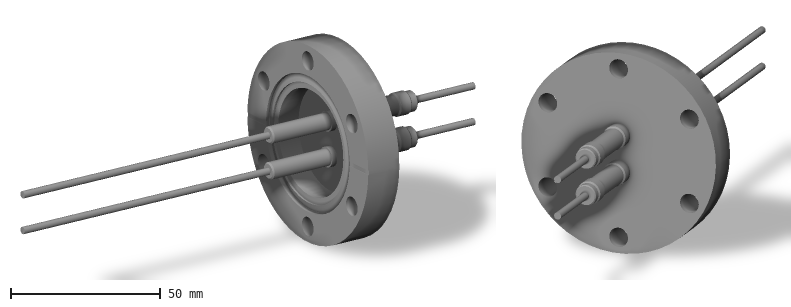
import cadquery as cq
import math

flange_diameter = 69.85
flange_thickness = 12.7
web_thickness = 3.2
bore_diameter = 37.6

bolt_count = 6
bolt_circle_diameter = 58.72
bolt_hole_diameter = 6.7

recess_diameter = 48.3
cone_base_diameter = 47.4
knife_edge_diameter = 42.2
knife_edge_depth = 0.4
cone_break_diameter = 44.4
inner_cone_angle = 18.0
outer_cone_angle = 20.0
land_depth = 1.2

leak_groove_width = 1.6
leak_groove_depth = 0.2

pin_spacing = 12.7
total_length = 184.15
pin_diameter = 2.5
pin_front_reach = 116.5
front_tube_diameter = 6.0
front_tube_chamfer = 0.5
front_tube_reach = 16.2
collar_diameter = 7.1
collar_length = 2.0
boss_diameter = 8.2
boss_length = 4.6
rear_tube_diameter = 7.2
ring_diameter = 8.2
ring_front = 34.9
ring_length = 5.1
cap_diameter = 7.3
cap_chamfer = 0.35
cap_end = 42.6
edge_bevel = 0.55

bore_depth = flange_thickness - web_thickness
pin_positions = (-pin_spacing / 2, pin_spacing / 2)


def cylinder(diameter, y_start, y_end, x=0.0, z=0.0):
    """Cylinder along +Y from y_start to y_end."""
    axis_start = cq.Vector(x, y_start, z)
    return cq.Workplane(
        cq.Solid.makeCylinder(diameter / 2, y_end - y_start, axis_start, cq.Vector(0, 1, 0))
    )


def cone_drop(inner_diameter, outer_diameter, angle):
    """Depth lost along a cone that slopes away from the knife edge."""
    return (outer_diameter - inner_diameter) / 2 * math.tan(math.radians(angle))


def sealing_recess():
    """Turned volume to cut away, leaving a conical knife edge and a flat land around the bore."""
    cone_break_depth = knife_edge_depth + cone_drop(
        knife_edge_diameter, cone_break_diameter, inner_cone_angle
    )
    cone_base_depth = cone_break_depth + cone_drop(
        cone_break_diameter, cone_base_diameter, outer_cone_angle
    )
    profile = [
        (0, 0),
        (recess_diameter / 2, 0),
        (recess_diameter / 2, cone_base_depth),
        (cone_base_diameter / 2, cone_base_depth),
        (cone_break_diameter / 2, cone_break_depth),
        (knife_edge_diameter / 2, knife_edge_depth),
        (knife_edge_diameter / 2, land_depth),
        (0, land_depth),
    ]
    return cq.Workplane("XY").polyline(profile).close().revolve(360, (0, 0), (0, 1))


def flange():
    """Drilled flange with its blind bore, sealing recess and leak-check grooves."""
    body = cylinder(flange_diameter, 0, flange_thickness)
    body = body.cut(cylinder(bore_diameter, 0, bore_depth))
    body = body.cut(sealing_recess())
    for index in range(bolt_count):
        angle = math.radians(90 + index * 360 / bolt_count)
        x = bolt_circle_diameter / 2 * math.cos(angle)
        z = bolt_circle_diameter / 2 * math.sin(angle)
        body = body.cut(cylinder(bolt_hole_diameter, 0, flange_thickness, x, z))
    groove = cq.Workplane("XY").box(flange_diameter, 2 * leak_groove_depth, leak_groove_width)
    inside = cylinder(recess_diameter, -leak_groove_depth, leak_groove_depth)
    return body.cut(groove.cut(inside))


def feedthrough(z):
    """Pin with its front tube and collar in the bore and its sleeves behind the web, as one turned shape."""
    ring_end = ring_front + ring_length
    boss_end = flange_thickness + boss_length
    pin_radius = pin_diameter / 2
    front_tube_radius = front_tube_diameter / 2
    collar_radius = collar_diameter / 2
    boss_radius = boss_diameter / 2
    rear_tube_radius = rear_tube_diameter / 2
    ring_radius = ring_diameter / 2
    cap_radius = cap_diameter / 2
    profile = [
        (0, -pin_front_reach),
        (pin_radius, -pin_front_reach),
        (pin_radius, -front_tube_reach),
        (front_tube_radius - front_tube_chamfer, -front_tube_reach),
        (front_tube_radius, -front_tube_reach + front_tube_chamfer),
        (front_tube_radius, bore_depth - collar_length),
        (collar_radius, bore_depth - collar_length),
        (collar_radius, bore_depth),
        (boss_radius, bore_depth),
        (boss_radius, boss_end - edge_bevel),
        (rear_tube_radius, boss_end),
        (rear_tube_radius, ring_front),
        (ring_radius, ring_front + edge_bevel),
        (ring_radius, ring_end - edge_bevel),
        (cap_radius, ring_end),
        (cap_radius, cap_end - cap_chamfer),
        (cap_radius - cap_chamfer, cap_end),
        (pin_radius, cap_end),
        (pin_radius, total_length - pin_front_reach),
        (0, total_length - pin_front_reach),
    ]
    turned = cq.Workplane("XY").polyline(profile).close().revolve(360, (0, 0), (0, 1))
    return turned.translate((0, 0, z))


result = flange()
for pin_z in pin_positions:
    result = result.union(feedthrough(pin_z))